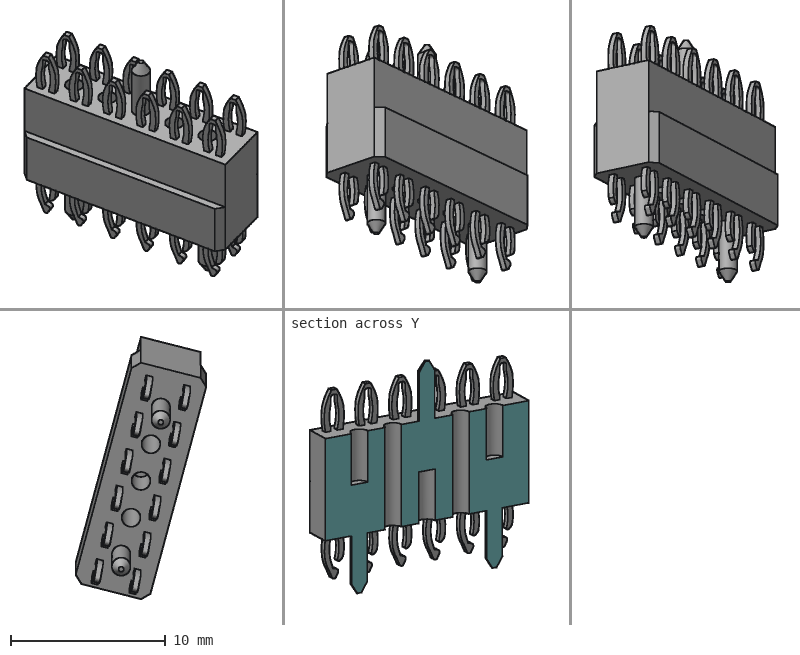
import cadquery as cq


length = 15.24
contacts_per_row = 6
pitch = 2.53
body_width = 4.0
overall_width = 5.0
overall_height = 15.0
pin_reach = 4.0
body_height = overall_height - 2 * pin_reach
flange_height = body_height / 2
flange_bevel = (overall_width - body_width) / 2
top_z = body_height / 2
bottom_z = -top_z

pin_diameter = 1.2
pin_tip_diameter = 0.34
pin_cone_length = 0.7
pin_seat_depth = body_height / 2
top_pin_places = [0]
bottom_pin_places = [-2 * pitch, 2 * pitch]
guide_hole_places = [-pitch, pitch]

contact_thickness = 0.4
row_spacing = pitch
widest_height = 1.0
shoulder_height = 1.63
taper_height = 2.45
slot_half_width = 0.25
slot_bow_half_width = 0.35
slot_bow_start = 0.15
slot_bow_end = 2 * widest_height - slot_bow_start

loop_height = 2.8
loop_tip_half_width = 0.2
base_half_width = 0.65
widest_half_width = 0.75
eye_height = 2.47
eye_corner_radius = 0.17

hook_depth = 3.1
hooked_base_offset = 0.58
short_base_offset = 0.6

embed = 0.15


def make_housing():
    body = cq.Workplane("XY").box(length, body_width, body_height)
    flange = (
        cq.Workplane("XY", origin=(0, 0, bottom_z))
        .rect(length, overall_width)
        .extrude(flange_height)
        .edges("|Z")
        .chamfer(flange_bevel)
    )
    return body.union(flange)


def make_pin(direction):
    """Cone-tipped pin on the Z axis; direction is +1 for the top face, -1 for the bottom face."""
    radius = pin_diameter / 2
    tip_radius = pin_tip_diameter / 2
    face_z = direction * top_z
    seat_z = face_z - direction * pin_seat_depth
    end_z = face_z + direction * pin_reach
    return (
        cq.Workplane("XZ")
        .moveTo(0, seat_z)
        .lineTo(radius, seat_z)
        .lineTo(radius, end_z - direction * pin_cone_length)
        .lineTo(tip_radius, end_z)
        .lineTo(0, end_z)
        .close()
        .revolve(360, (0, 0, 0), (0, 1, 0))
    )


def contact_plane(face_z):
    """XZ plane set so that extruding by the contact thickness is centred on Y = 0."""
    return cq.Workplane("XZ", origin=(0, contact_thickness / 2, face_z))


def make_top_contact():
    """Closed needle-eye loop standing on the top face, symmetric about its centre line."""
    outer = (
        contact_plane(top_z)
        .moveTo(0, -embed)
        .lineTo(base_half_width, -embed)
        .lineTo(base_half_width, 0)
        .threePointArc((widest_half_width, widest_height), (0.7, shoulder_height))
        .threePointArc((0.56, 2.07), (0.4, taper_height))
        .lineTo(loop_tip_half_width, loop_height)
        .lineTo(0, loop_height)
        .close()
        .extrude(contact_thickness)
    )
    eye = (
        contact_plane(top_z)
        .moveTo(0, -embed)
        .lineTo(slot_half_width, -embed)
        .lineTo(slot_half_width, slot_bow_start)
        .threePointArc((slot_bow_half_width, widest_height), (slot_half_width, slot_bow_end))
        .lineTo(slot_half_width, eye_height - eye_corner_radius)
        .radiusArc((slot_half_width - eye_corner_radius, eye_height), -eye_corner_radius)
        .lineTo(0, eye_height)
        .close()
        .extrude(contact_thickness)
    )
    half_loop = outer.cut(eye)
    return half_loop.union(half_loop.mirror("YZ"))


def make_bottom_contact():
    """Open loop hanging from the bottom face: a long hooked arm and a short arm."""
    hooked_arm = (
        contact_plane(bottom_z)
        .moveTo(-slot_half_width, embed)
        .lineTo(-hooked_base_offset, embed)
        .lineTo(-hooked_base_offset, 0)
        .threePointArc((-0.73, -widest_height), (-0.69, -shoulder_height))
        .threePointArc((-0.56, -2.1), (-0.4, -taper_height))
        .lineTo(-0.17, -2.97)
        .threePointArc((0, -hook_depth), (0.15, -2.97))
        .lineTo(0.29, -2.73)
        .threePointArc((0.29, -2.55), (0.18, -2.45))
        .lineTo(-0.06, -2.4)
        .threePointArc((-0.21, -1.97), (-0.3, -shoulder_height))
        .threePointArc((-slot_bow_half_width, -widest_height), (-slot_half_width, -slot_bow_start))
        .close()
        .extrude(contact_thickness)
    )
    short_arm = (
        contact_plane(bottom_z)
        .moveTo(slot_half_width, embed)
        .lineTo(short_base_offset, embed)
        .lineTo(short_base_offset, 0)
        .threePointArc((0.75, -widest_height), (0.69, -shoulder_height))
        .threePointArc((0.55, -1.83), (0.35, -1.97))
        .threePointArc((0.27, -1.92), (0.26, -1.81))
        .threePointArc((slot_bow_half_width, -widest_height), (slot_half_width, -slot_bow_start))
        .close()
        .extrude(contact_thickness)
    )
    return hooked_arm.union(short_arm)


result = make_housing()

for x in guide_hole_places + top_pin_places + bottom_pin_places:
    hole = cq.Workplane("XY", origin=(x, 0, bottom_z)).circle(pin_diameter / 2).extrude(body_height)
    result = result.cut(hole)

for x in top_pin_places:
    result = result.union(make_pin(1).translate((x, 0, 0)))
for x in bottom_pin_places:
    result = result.union(make_pin(-1).translate((x, 0, 0)))

top_contact = make_top_contact()
bottom_contact = make_bottom_contact()
for row in (-1, 1):
    for column in range(contacts_per_row):
        place = ((column - (contacts_per_row - 1) / 2) * pitch, row * row_spacing / 2, 0)
        result = result.union(top_contact.translate(place))
        result = result.union(bottom_contact.translate(place))